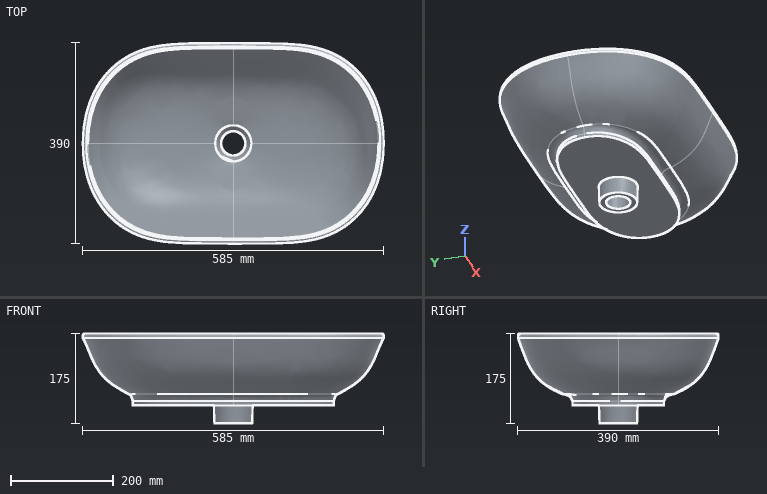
import cadquery as cq
import math

length = 585.0
width = 390.0
height = 175.0

foot_bottom = 35.0
foot_top = 43.0
neck_level = 51.0
bowl_bottom = 57.0
rim_bottom = 166.0

side_handle = 0.55
end_handle = 0.85
oval_quarter = [(0, 1), (side_handle, 1), (side_handle, 1), (1, end_handle), (1, 0)]
circle_handle = 4 / 3 * (math.sqrt(2) - 1)
circle_quarter = [(0, 1), (circle_handle, 1), (1, circle_handle), (1, 0)]

rim_width = 10.5
outer_rim_round = 5.0
lip_bevel_width = 3.5
lip_bevel_depth = 3.0

foot_half_length = 195.5
foot_half_width = 89.0
neck_half_length = 198.0
neck_half_width = 93.0

bowl_bottom_half_length = 203.5
bowl_bottom_half_width = 109.0

outer_stations = [
    (bowl_bottom, bowl_bottom_half_length, bowl_bottom_half_width),
    (73.0, 231.5, 139.0),
    (96.5, 257.5, 164.0),
    (131.5, 277.0, 182.5),
    (rim_bottom, length / 2, width / 2),
]

drain_diameter = 47.0
countersink_diameter = 70.0
drain_floor = 51.0
countersink_depth = 10.0
spigot_top_diameter = 76.0
spigot_bottom_diameter = 73.5

basin_stations = [
    (drain_floor, countersink_diameter / 2, countersink_diameter / 2),
    (61.0, 134.5, 80.0),
    (75.0, 199.0, 117.5),
    (100.0, 241.5, 145.5),
    (130.5, 262.5, 165.0),
    (height - lip_bevel_depth, length / 2 - rim_width, width / 2 - rim_width),
]


def oval(z, half_length, half_width, quarter=oval_quarter):
    """Closed wire at height z, made of four mirrored Bezier quarters."""
    edges = []
    for x_sign, y_sign in [(1, 1), (1, -1), (-1, -1), (-1, 1)]:
        points = [cq.Vector(x_sign * half_length * x, y_sign * half_width * y, z) for x, y in quarter]
        if x_sign != y_sign:
            points.reverse()
        edges.append(cq.Edge.makeBezier(points))
    return cq.Wire.assembleEdges(edges)


def loft(wires, ruled=False):
    """Solid through the given wires: smooth, or straight-sided when ruled."""
    return cq.Workplane(obj=cq.Solid.makeLoft(wires, ruled))


def make_bowl():
    """Solid bowl with a short upright rim band, still without its basin."""
    wall = loft([oval(*station) for station in outer_stations])
    rim = loft([oval(z, length / 2, width / 2) for z in (rim_bottom, height)], ruled=True)
    return wall.union(rim.faces(">Z").edges().fillet(outer_rim_round))


def make_foot():
    """Upright oval foot flaring out to meet the bowl."""
    base = loft([oval(z, foot_half_length, foot_half_width) for z in (foot_bottom, foot_top)], ruled=True)
    neck = loft([
        oval(foot_top, foot_half_length, foot_half_width),
        oval(neck_level, neck_half_length, neck_half_width),
        oval(bowl_bottom, bowl_bottom_half_length, bowl_bottom_half_width),
    ])
    return base.union(neck)


def make_basin():
    """Hollow of the bowl, blending from a circle at the drain to the oval rim."""
    floor, *walls = basin_stations
    wires = [oval(*floor, quarter=circle_quarter)]
    wires += [oval(*station) for station in walls]
    return loft(wires)


def make_lip_bevel():
    """Bevel opening the top of the basin toward the rim."""
    top_inset = rim_width - lip_bevel_width
    return loft([
        oval(*basin_stations[-1]),
        oval(height, length / 2 - top_inset, width / 2 - top_inset),
    ], ruled=True)


def make_spigot():
    """Tapered drain outlet reaching up to the underside of the foot."""
    return cq.Workplane(obj=cq.Solid.makeCone(spigot_bottom_diameter / 2, spigot_top_diameter / 2, foot_bottom))


def make_drain():
    """Through hole with a conical seat in the basin floor."""
    bore = cq.Workplane().circle(drain_diameter / 2).extrude(drain_floor)
    seat = cq.Workplane(obj=cq.Solid.makeCone(
        drain_diameter / 2,
        countersink_diameter / 2,
        countersink_depth,
        pnt=cq.Vector(0, 0, drain_floor - countersink_depth),
    ))
    return bore.union(seat)


body = make_bowl().union(make_foot()).union(make_spigot())
body = body.cut(make_basin()).cut(make_lip_bevel())
result = body.cut(make_drain())